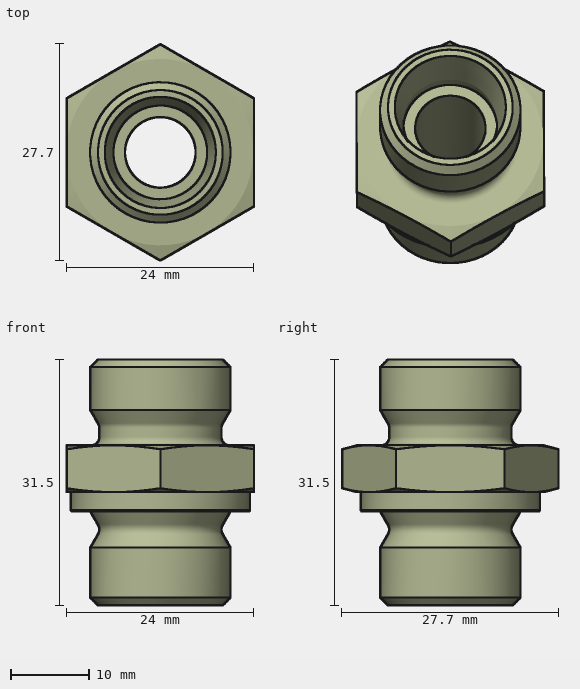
import cadquery as cq
import math

total_height = 31.5
flange_bottom = 12.0
hex_bottom = 14.5
hex_top = 20.5

thread_radius = 18.0 / 2
neck_radius = 15.7 / 2
flange_radius = 23.0 / 2
end_chamfer = 1.0
flange_chamfer = 0.2
lower_thread_top = 7.4
upper_thread_bottom = 25.0
cone_slope = math.tan(math.radians(30))
neck_fillet = 1.0
groove_fillet = 1.2

across_flats = 24.0
hex_chamfer_radius = 11.95
hex_chamfer_slope = math.tan(math.radians(15))

bore_diameter = 9.0
seat_radius = 12.0 / 2
mouth_radius = 7.12
seat_cone_depth = 5.35
seat_depth = 7.0


def revolve(profile):
    """Turn a closed (radius, height) profile about the Z axis."""
    return profile.close().revolve(360, (0, 0, 0), (0, 1, 0))


def lower_stud():
    """Lower threaded end, rounded V groove and sealing flange."""
    half_angle = math.atan(cone_slope)
    arc_half_height = groove_fillet * math.sin(half_angle)
    tangent_radius = neck_radius + groove_fillet * (1 - math.cos(half_angle))
    arc_start = lower_thread_top + (thread_radius - tangent_radius) / cone_slope
    arc_end = arc_start + 2 * arc_half_height
    cone_end_radius = tangent_radius + (flange_bottom - arc_end) * cone_slope
    return revolve(
        cq.Workplane("XZ")
        .lineTo(thread_radius - end_chamfer, 0)
        .lineTo(thread_radius, end_chamfer)
        .lineTo(thread_radius, lower_thread_top)
        .lineTo(tangent_radius, arc_start)
        .threePointArc((neck_radius, arc_start + arc_half_height), (tangent_radius, arc_end))
        .lineTo(cone_end_radius, flange_bottom)
        .lineTo(flange_radius - flange_chamfer, flange_bottom)
        .lineTo(flange_radius, flange_bottom + flange_chamfer)
        .lineTo(flange_radius, hex_bottom)
        .lineTo(0, hex_bottom)
    )


def upper_stud():
    """Upper threaded end with a neck blended into the hexagon and the cone."""
    half_angle = math.atan(cone_slope)
    cone_foot = upper_thread_bottom - (thread_radius - neck_radius) / cone_slope
    arc_start = cone_foot - neck_fillet * math.tan(half_angle / 2)
    arc_end = arc_start + neck_fillet * math.sin(half_angle)
    arc_end_radius = neck_radius + neck_fillet * (1 - math.cos(half_angle))
    return revolve(
        cq.Workplane("XZ")
        .moveTo(0, hex_top)
        .lineTo(neck_radius + neck_fillet, hex_top)
        .radiusArc((neck_radius, hex_top + neck_fillet), neck_fillet)
        .lineTo(neck_radius, arc_start)
        .radiusArc((arc_end_radius, arc_end), neck_fillet)
        .lineTo(thread_radius, upper_thread_bottom)
        .lineTo(thread_radius, total_height - end_chamfer)
        .lineTo(thread_radius - end_chamfer, total_height)
        .lineTo(0, total_height)
    )


def hexagon():
    """Hexagon with corners on Y, its corners chamfered at both faces."""
    corner_radius = across_flats / math.sqrt(3)
    prism = (
        cq.Workplane("XY", origin=(0, 0, hex_bottom))
        .polygon(6, 2 * corner_radius)
        .extrude(hex_top - hex_bottom)
        .rotate((0, 0, 0), (0, 0, 1), 30)
    )
    envelope_radius = corner_radius + 0.3
    drop = (envelope_radius - hex_chamfer_radius) * hex_chamfer_slope
    envelope = revolve(
        cq.Workplane("XZ")
        .moveTo(0, hex_bottom)
        .lineTo(hex_chamfer_radius, hex_bottom)
        .lineTo(envelope_radius, hex_bottom + drop)
        .lineTo(envelope_radius, hex_top - drop)
        .lineTo(hex_chamfer_radius, hex_top)
        .lineTo(0, hex_top)
    )
    return prism.intersect(envelope)


def bore():
    """Through bore opening into a cylindrical tube seat and a conical mouth."""
    through = cq.Workplane("XY").circle(bore_diameter / 2).extrude(total_height)
    seat = revolve(
        cq.Workplane("XZ")
        .moveTo(0, total_height - seat_depth)
        .lineTo(seat_radius, total_height - seat_depth)
        .lineTo(seat_radius, total_height - seat_cone_depth)
        .lineTo(mouth_radius, total_height)
        .lineTo(0, total_height)
    )
    return through.union(seat)


result = lower_stud().union(hexagon()).union(upper_stud()).cut(bore())